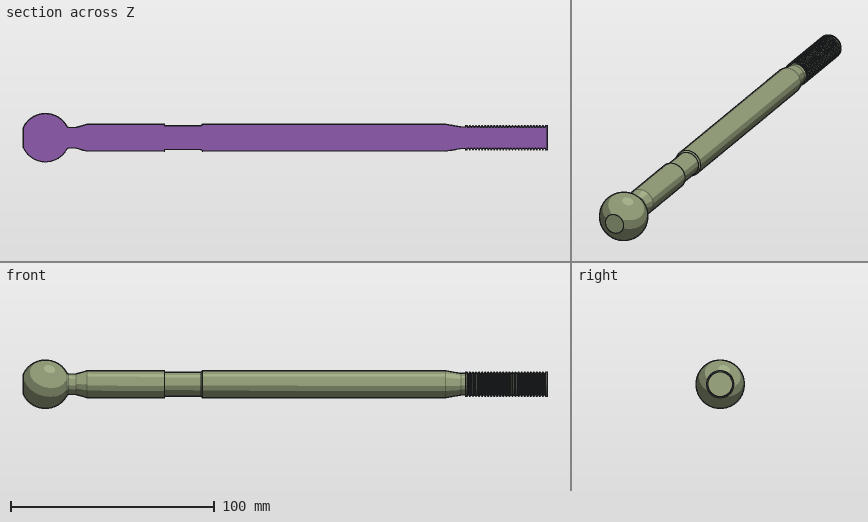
import cadquery as cq
import math

overall_length = 257.0
ball_radius = 24.0 / 2
flat_radius = 5.0
neck_radius = 5.1
ball_center = math.sqrt(ball_radius**2 - flat_radius**2)
neck_fillet = 1.0
fillet_axis_radius = neck_radius + neck_fillet
fillet_end = ball_center + math.sqrt((ball_radius + neck_fillet)**2 - fillet_axis_radius**2)
tangent_share = ball_radius / (ball_radius + neck_fillet)
ball_end = ball_center + (fillet_end - ball_center) * tangent_share
ball_end_radius = fillet_axis_radius * tangent_share
neck_end = 26.0

rod_radius = 6.7
rod_start = 31.4
rod_end = 207.1
groove_start = 69.5
groove_end = 87.0
groove_radius = 6.0
groove_chamfer = rod_radius - groove_radius

thread_neck_radius = 5.5
taper_end = 214.5
thread_length = 40.0
thread_start = overall_length - thread_length
thread_radius = 6.05
thread_pitch = 1.5
thread_depth = 0.9
crest_width = 0.2
root_width = 0.3
groove_count = math.floor(thread_length / thread_pitch)
first_groove = thread_start + (thread_length - (groove_count - 1) * thread_pitch) / 2


def thread_groove_points(center):
    """List the points of one V-shaped groove, with a narrow flat root, about a place along X."""
    half_mouth = (thread_pitch - crest_width) / 2
    half_root = root_width / 2
    root_radius = thread_radius - thread_depth
    return [
        (center - half_mouth, thread_radius),
        (center - half_root, root_radius),
        (center + half_root, root_radius),
        (center + half_mouth, thread_radius),
    ]


def make_shaft():
    """Revolve the ball, neck, rod and thread about the X axis."""
    profile = (
        cq.Workplane("XY")
        .lineTo(0, flat_radius)
        .threePointArc((ball_center, ball_radius), (ball_end, ball_end_radius))
        .radiusArc((fillet_end, neck_radius), -neck_fillet)
        .lineTo(neck_end, neck_radius)
        .lineTo(rod_start, rod_radius)
        .lineTo(groove_start, rod_radius)
        .lineTo(groove_start, groove_radius)
        .lineTo(groove_end, groove_radius)
        .lineTo(groove_end + groove_chamfer, rod_radius)
        .lineTo(rod_end, rod_radius)
        .lineTo(taper_end, thread_neck_radius)
        .lineTo(thread_start, thread_neck_radius)
        .lineTo(thread_start, thread_radius)
    )
    for groove in range(groove_count):
        for point in thread_groove_points(first_groove + groove * thread_pitch):
            profile = profile.lineTo(*point)
    profile = profile.lineTo(overall_length, thread_radius).lineTo(overall_length, 0).close()
    return profile.revolve(360, (0, 0, 0), (1, 0, 0))


result = make_shaft()